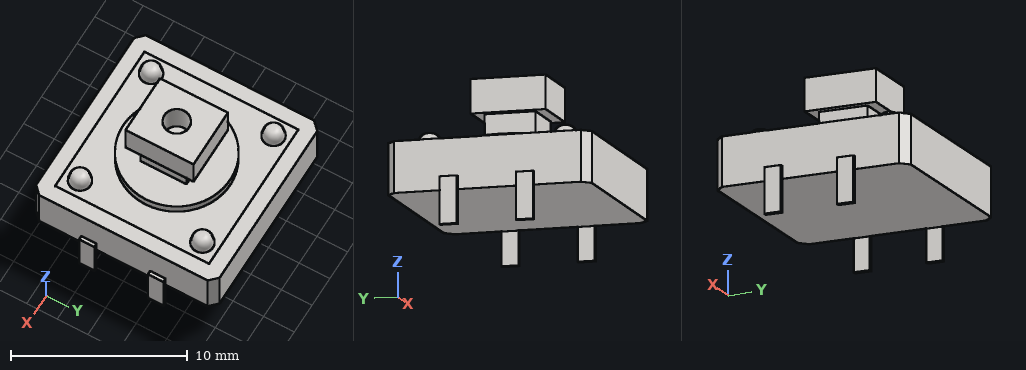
import cadquery as cq
import math

HOUSING_SIDE = 12.0
HOUSING_HEIGHT = 3.0
HOUSING_CHAMFER = 0.5
HOUSING_BOTTOM = 2.0
HOUSING_TOP = HOUSING_BOTTOM + HOUSING_HEIGHT

COVER_SIDE = 10.05
COVER_THICKNESS = 0.5

RIVET_DIAMETER = 1.25
RIVET_FOOT_HEIGHT = 0.25
RIVET_FLARE_RADIUS = 0.5
RIVET_CROWN_RADIUS = 0.5
RIVET_SPACING = 8.0

FLANGE_DIAMETER = 7.0
FLANGE_HEIGHT = 0.6
STEM_SIDE = 3.0
STEM_HEIGHT = 1.6
CAP_LENGTH_X = 3.88
CAP_LENGTH_Y = 4.44
CAP_HEIGHT = 2.0
CAP_HOLE_DIAMETER = 1.6

TERMINAL_THICKNESS = 0.25
TERMINAL_WIDTH = 1.0
TERMINAL_HEIGHT = 2.75
TERMINAL_SPACING = 4.5


def block(length_x, length_y, height, bottom):
    """Box centred on the Z axis, standing on the given level."""
    return (
        cq.Workplane("XY", origin=(0, 0, bottom))
        .rect(length_x, length_y)
        .extrude(height)
    )


def make_cover_panel():
    """Plain square panel, which is also the shape of its recess in the housing."""
    return block(COVER_SIDE, COVER_SIDE, COVER_THICKNESS, HOUSING_TOP - COVER_THICKNESS)


def make_housing():
    body = block(HOUSING_SIDE, HOUSING_SIDE, HOUSING_HEIGHT, HOUSING_BOTTOM)
    body = body.edges("|Z").chamfer(HOUSING_CHAMFER)
    return body.cut(make_cover_panel())


def make_rivet_head():
    """Revolved rivet head standing on Z = 0."""
    radius = RIVET_DIAMETER / 2
    flat_radius = radius - RIVET_CROWN_RADIUS
    height = RIVET_FOOT_HEIGHT + RIVET_CROWN_RADIUS
    crown_middle = RIVET_CROWN_RADIUS / math.sqrt(2)
    flare_angle = math.asin(RIVET_FOOT_HEIGHT / RIVET_FLARE_RADIUS)

    def flare_point(angle):
        return (
            radius + RIVET_FLARE_RADIUS * (1 - math.cos(angle)),
            RIVET_FOOT_HEIGHT - RIVET_FLARE_RADIUS * math.sin(angle),
        )

    return (
        cq.Workplane("XZ")
        .lineTo(*flare_point(flare_angle))
        .threePointArc(flare_point(flare_angle / 2), (radius, RIVET_FOOT_HEIGHT))
        .threePointArc(
            (flat_radius + crown_middle, RIVET_FOOT_HEIGHT + crown_middle),
            (flat_radius, height),
        )
        .lineTo(0, height)
        .close()
        .revolve(360, (0, 0), (0, 1))
    )


def make_cover():
    cover = make_cover_panel()
    rivet_head = make_rivet_head()
    for side_x in (-1, 1):
        for side_y in (-1, 1):
            x = side_x * RIVET_SPACING / 2
            y = side_y * RIVET_SPACING / 2
            cover = cover.union(rivet_head.translate((x, y, HOUSING_TOP)))
    return cover


def make_button():
    stem_bottom = HOUSING_TOP + FLANGE_HEIGHT
    cap_bottom = stem_bottom + STEM_HEIGHT
    flange = (
        cq.Workplane("XY", origin=(0, 0, HOUSING_TOP))
        .circle(FLANGE_DIAMETER / 2)
        .extrude(FLANGE_HEIGHT)
    )
    stem = block(STEM_SIDE, STEM_SIDE, STEM_HEIGHT, stem_bottom)
    cap = block(CAP_LENGTH_X, CAP_LENGTH_Y, CAP_HEIGHT, cap_bottom)
    hole = (
        cq.Workplane("XY", origin=(0, 0, cap_bottom))
        .circle(CAP_HOLE_DIAMETER / 2)
        .extrude(CAP_HEIGHT)
    )
    return flange.union(stem).union(cap).cut(hole)


def make_terminal(side_x, side_y):
    x = side_x * (HOUSING_SIDE + TERMINAL_THICKNESS) / 2
    y = side_y * TERMINAL_SPACING / 2
    strip = block(TERMINAL_THICKNESS, TERMINAL_WIDTH, TERMINAL_HEIGHT, 0)
    return strip.translate((x, y, 0))


housing = make_housing()
cover = make_cover()
button = make_button()
terminals = []
for side_x in (-1, 1):
    for side_y in (-1, 1):
        terminals.append(make_terminal(side_x, side_y).val())

result = cq.Compound.makeCompound([housing.val(), cover.val(), button.val(), *terminals])